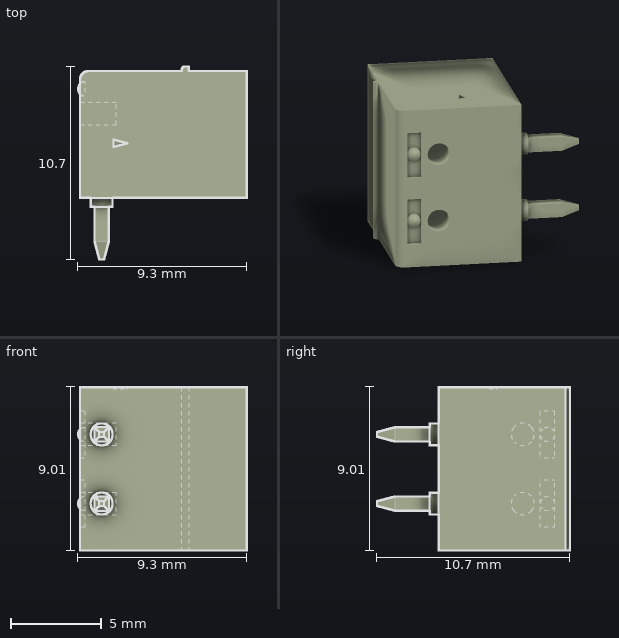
import cadquery as cq

OVERALL_Y = 10.65

BODY_X = 9.2
BODY_Y = 7.0
BODY_Z = 9.01
CORNER_RADIUS = 0.5

PITCH = 3.81
CONTACT_HEIGHTS = [BODY_Z / 2 - PITCH / 2, BODY_Z / 2 + PITCH / 2]

RIB_HEIGHT = 0.25
RIB_START = 5.61
RIB_WIDTH = 0.39
RIB_EDGE_RADIUS = 0.18

PIN_X = 1.2
PIN_LENGTH = OVERALL_Y - BODY_Y - RIB_HEIGHT
PIN_SIDE = 0.8
PIN_TIP_SIDE = 0.27
PIN_TAPER = 1.0
COLLAR_DIAMETER = 1.21
COLLAR_LENGTH = 0.5

SLOT_Y = 6.0
SLOT_WIDTH = 0.8
SLOT_HEIGHT = 2.6
BALL_DIAMETER = 0.79
BALL_PROTRUSION = 0.1
SLOT_DEPTH = BALL_DIAMETER / 2 - BALL_PROTRUSION

HOLE_Y = 4.63
HOLE_DIAMETER = 1.25
HOLE_DEPTH = 2.0

MARK_X = 1.85
MARK_Y = 3.0
MARK_LENGTH = 0.78
MARK_WIDTH = 0.4
MARK_DEPTH = 0.1


def make_housing():
    housing = cq.Workplane("XY").box(BODY_X, BODY_Y, BODY_Z, centered=False)
    return housing.edges("|Z and <X and >Y").fillet(CORNER_RADIUS)


def make_rib():
    """Straight rib whose outer -X edge is rounded."""
    base = cq.Workplane("XY", origin=(RIB_START, BODY_Y, 0))
    rib = base.box(RIB_WIDTH, RIB_HEIGHT, BODY_Z, centered=False)
    return rib.edges("|Z and <X and >Y").fillet(RIB_EDGE_RADIUS)


def make_pin(height):
    """Round collar, square shank and pyramidal tip, pointing toward -Y."""
    shank_length = PIN_LENGTH - PIN_TAPER
    base = cq.Workplane("XZ", origin=(PIN_X, 0, height))
    collar = base.circle(COLLAR_DIAMETER / 2).extrude(COLLAR_LENGTH)
    shank = base.rect(PIN_SIDE, PIN_SIDE).extrude(shank_length)
    tip = (
        base.workplane(offset=shank_length)
        .rect(PIN_SIDE, PIN_SIDE)
        .workplane(offset=PIN_TAPER)
        .rect(PIN_TIP_SIDE, PIN_TIP_SIDE)
        .loft()
    )
    return collar.union(shank).union(tip)


def make_slot(height):
    return cq.Workplane("YZ", origin=(0, SLOT_Y, height)).rect(SLOT_WIDTH, SLOT_HEIGHT).extrude(SLOT_DEPTH)


def make_ball(height):
    """Ball centred on the slot floor, so that half of it stands in the slot."""
    return cq.Workplane("XY", origin=(SLOT_DEPTH, SLOT_Y, height)).sphere(BALL_DIAMETER / 2)


def make_test_hole(height):
    return cq.Workplane("YZ", origin=(0, HOLE_Y, height)).circle(HOLE_DIAMETER / 2).extrude(HOLE_DEPTH)


def make_mark():
    return (
        cq.Workplane("XY", origin=(MARK_X, MARK_Y, BODY_Z))
        .moveTo(0, -MARK_WIDTH / 2)
        .lineTo(MARK_LENGTH, 0)
        .lineTo(0, MARK_WIDTH / 2)
        .close()
        .extrude(-MARK_DEPTH)
    )


result = make_housing().union(make_rib()).cut(make_mark())
for contact_height in CONTACT_HEIGHTS:
    result = result.cut(make_slot(contact_height)).cut(make_test_hole(contact_height))
    result = result.union(make_ball(contact_height)).union(make_pin(contact_height))